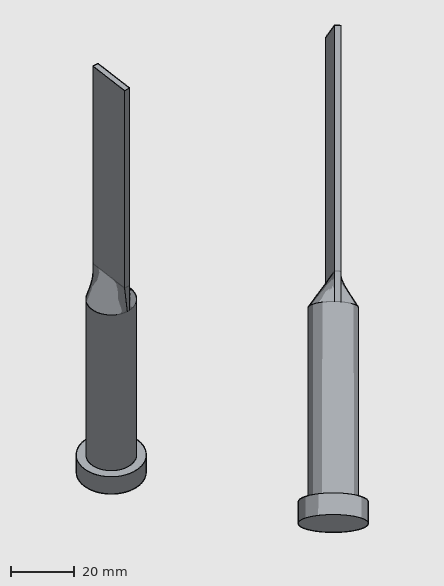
import cadquery as cq

total_height = 160
head_diameter = 22.0
head_height = 7.0
shank_diameter = 16

blade_length = 80
blade_width = 15.8
blade_thickness = 2.0
transition_height = 10.0

blade_start = total_height - blade_length
shank_top = blade_start - transition_height


def cylinder(diameter, bottom, top):
    """Round bar on the Z axis between two heights."""
    return cq.Workplane("XY").workplane(offset=bottom).circle(diameter / 2).extrude(top - bottom)


head = cylinder(head_diameter, 0, head_height)
shank = cylinder(shank_diameter, head_height, shank_top)

transition = (
    cq.Workplane("XY")
    .workplane(offset=shank_top)
    .circle(shank_diameter / 2)
    .workplane(offset=transition_height)
    .rect(blade_width, blade_thickness)
    .loft(ruled=True)
)

blade = (
    cq.Workplane("XY")
    .workplane(offset=blade_start)
    .rect(blade_width, blade_thickness)
    .extrude(blade_length)
)

result = head.union(shank).union(transition).union(blade)